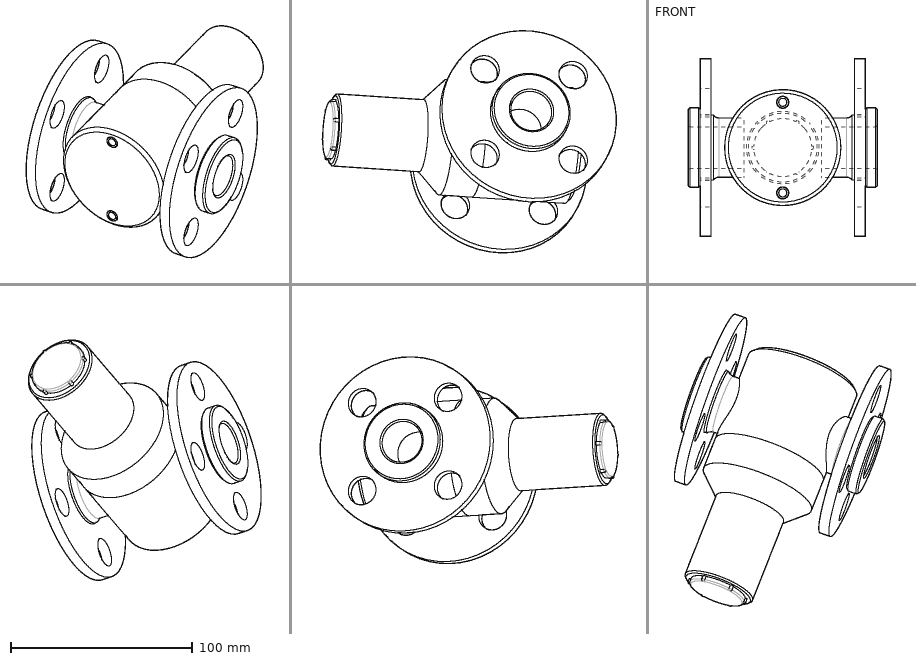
import cadquery as cq
import math


housing_d = 64.0
housing_front_y = -33.0
housing_back_y = 21.5
housing_chamfer = 2.0

tube_d = 40.0
shoulder_y = 39.7
cone_length = (housing_d - tube_d) / 2
tube_end_y = 101.3
tube_chamfer = 1.0

cap_d = 32.0
cap_end_y = 104.2
cap_fillet = 0.9
rib_count = 6
rib_d = 2.0

port_end_x = 52.2
collar_d = 44.0
collar_length = 6.7
collar_chamfer = 1.0
neck_d = 36.0
neck_end_x = 38.3
neck_blend_radius = 4.0
pipe_d = 32.8
bore_d = 23.0
bore_chamfer = 1.0
socket_floor_x = 21.5

flange_d = 98.0
flange_thickness = 6.0
flange_bore_d = 36.5
bolt_circle_d = 70.0
bolt_hole_d = 16.0
bolt_count = 4

screw_d = 6.3
screw_hole_d = 6.7
screw_length = 12.3
screw_socket_d = 4.5
screw_socket_depth = 9.2
screw_offset_z = 25.0


def y_cylinder(diameter, start_y, end_y, z=0):
    """Cylinder along +Y from start_y to end_y."""
    return (
        cq.Workplane("XZ", origin=(0, start_y, z))
        .circle(diameter / 2)
        .extrude(start_y - end_y)
    )


def x_cylinder(diameter, start_x, end_x):
    """Cylinder along +X from start_x to end_x, centred on the port axis."""
    return cq.Workplane("YZ", origin=(start_x, 0, 0)).circle(diameter / 2).extrude(end_x - start_x)


def mirror_to_left(body):
    return body.mirror("YZ")


def make_housing():
    body = y_cylinder(housing_d, housing_front_y, housing_back_y)
    body = body.faces("<Y").chamfer(housing_chamfer)
    socket = x_cylinder(pipe_d, socket_floor_x, housing_d / 2)
    body = body.cut(socket).cut(mirror_to_left(socket))
    for z in (-screw_offset_z, screw_offset_z):
        body = body.cut(y_cylinder(screw_hole_d, housing_front_y, housing_front_y + screw_length, z))
    return body


def make_bonnet():
    profile = [
        (0, housing_back_y),
        (housing_d / 2, housing_back_y),
        (housing_d / 2, shoulder_y),
        (tube_d / 2, shoulder_y + cone_length),
        (tube_d / 2, tube_end_y),
        (0, tube_end_y),
    ]
    body = cq.Workplane("XY").polyline(profile).close().revolve(360, (0, 0, 0), (0, 1, 0))
    return body.faces(">Y").chamfer(tube_chamfer)


def make_cap():
    """Disc with half-round grip ribs around its rim and a rounded back edge."""
    body = y_cylinder(cap_d, tube_end_y, cap_end_y)
    rib = y_cylinder(rib_d, tube_end_y, cap_end_y).translate((cap_d / 2, 0, 0))
    for i in range(rib_count):
        body = body.union(rib.rotate((0, 0, 0), (0, 1, 0), i * 360 / rib_count))
    return body.faces(">Y").edges().fillet(cap_fillet)


def make_connector():
    """Right-hand connector: collar, neck, concave blend and pipe, with a chamfered bore."""
    collar_r = collar_d / 2
    neck_r = neck_d / 2
    pipe_r = pipe_d / 2
    bore_r = bore_d / 2
    collar_back_x = port_end_x - collar_length

    arc_angle = math.acos(1 - (neck_r - pipe_r) / neck_blend_radius)
    blend_start_x = neck_end_x - neck_blend_radius * math.sin(arc_angle)
    arc_middle = (
        blend_start_x + neck_blend_radius * math.sin(arc_angle / 2),
        pipe_r + neck_blend_radius * (1 - math.cos(arc_angle / 2)),
    )
    return (
        cq.Workplane("XY")
        .moveTo(socket_floor_x, bore_r)
        .lineTo(socket_floor_x, pipe_r)
        .lineTo(blend_start_x, pipe_r)
        .threePointArc(arc_middle, (neck_end_x, neck_r))
        .lineTo(collar_back_x, neck_r)
        .lineTo(collar_back_x, collar_r - collar_chamfer)
        .lineTo(collar_back_x + collar_chamfer, collar_r)
        .lineTo(port_end_x - collar_chamfer, collar_r)
        .lineTo(port_end_x, collar_r - collar_chamfer)
        .lineTo(port_end_x, bore_r + bore_chamfer)
        .lineTo(port_end_x - bore_chamfer, bore_r)
        .close()
        .revolve(360, (0, 0, 0), (1, 0, 0))
    )


def make_flange():
    """Right-hand flange, resting against the back of the collar."""
    outer_x = port_end_x - collar_length
    inner_x = outer_x - flange_thickness
    body = x_cylinder(flange_d, inner_x, outer_x).cut(x_cylinder(flange_bore_d, inner_x, outer_x))
    bolt_holes = (
        cq.Workplane("YZ", origin=(inner_x, 0, 0))
        .polarArray(bolt_circle_d / 2, 180 / bolt_count, 360, bolt_count)
        .circle(bolt_hole_d / 2)
        .extrude(flange_thickness)
    )
    return body.cut(bolt_holes)


def make_screw(z):
    """Screw flush with the housing's front face, with a round blind socket."""
    body = y_cylinder(screw_d, housing_front_y, housing_front_y + screw_length, z)
    socket = y_cylinder(screw_socket_d, housing_front_y, housing_front_y + screw_socket_depth, z)
    return body.cut(socket)


housing = make_housing()
bonnet = make_bonnet()
cap = make_cap()

right_connector = make_connector()
connectors = [right_connector, mirror_to_left(right_connector)]

right_flange = make_flange()
flanges = [right_flange, mirror_to_left(right_flange)]

screws = [make_screw(z) for z in (-screw_offset_z, screw_offset_z)]

bodies = [housing, bonnet, cap, *connectors, *flanges, *screws]
result = cq.Compound.makeCompound([body.val() for body in bodies])